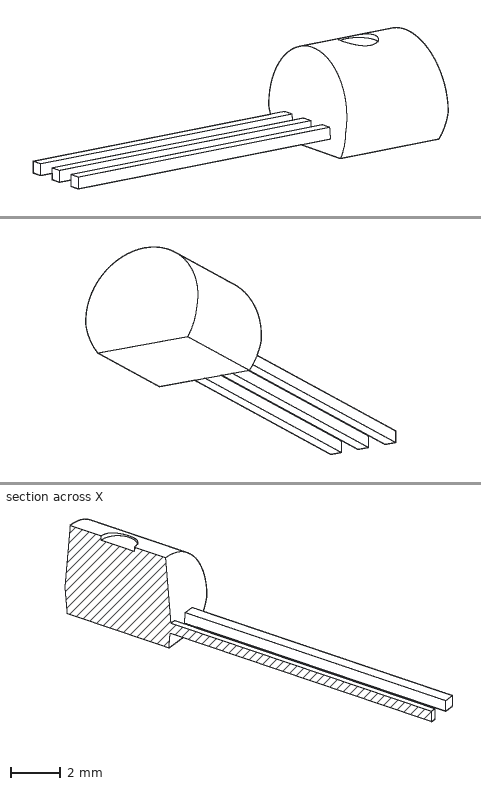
import cadquery as cq
import math

total_length = 17.9
body_diameter = 5.25
body_height = 4.19
body_length = 5.19
draft_angle = 5.0
parting_z = -0.35
lead_size = 0.5
lead_pitch = 1.27
lead_count = 3
dimple_diameter = 1.61
dimple_depth = 0.2

body_radius = body_diameter / 2
flat_z = body_radius - body_height
half_body_length = body_length / 2
lead_end_y = half_body_length - total_length


def half_length_at(z):
    """Half the body length at height z; the end faces lean inward from the parting plane."""
    return half_body_length - abs(z - parting_z) * math.tan(math.radians(draft_angle))


def make_body():
    """Round body with a flat underside and drafted end faces."""
    cylinder = cq.Workplane("XZ").circle(body_radius).extrude(half_body_length, both=True)
    right_side = [(half_length_at(z), z) for z in (flat_z, parting_z, body_radius)]
    left_side = [(-y, z) for y, z in reversed(right_side)]
    side_profile = cq.Workplane("YZ").polyline(right_side + left_side).close()
    return cylinder.intersect(side_profile.extrude(body_radius, both=True))


def make_dimple():
    """Flat-bottomed round recess in the crown of the body."""
    floor = cq.Workplane("XY").workplane(offset=body_radius - dimple_depth)
    return floor.circle(dimple_diameter / 2).extrude(dimple_depth)


def make_lead(x):
    """Square lead just below the parting plane, rooted at the middle of the body."""
    lead = cq.Workplane("XY").box(lead_size, -lead_end_y, lead_size)
    return lead.translate((x, lead_end_y / 2, parting_z - lead_size / 2))


result = make_body().cut(make_dimple())
for index in range(lead_count):
    lead_x = (index - (lead_count - 1) / 2) * lead_pitch
    result = result.union(make_lead(lead_x))